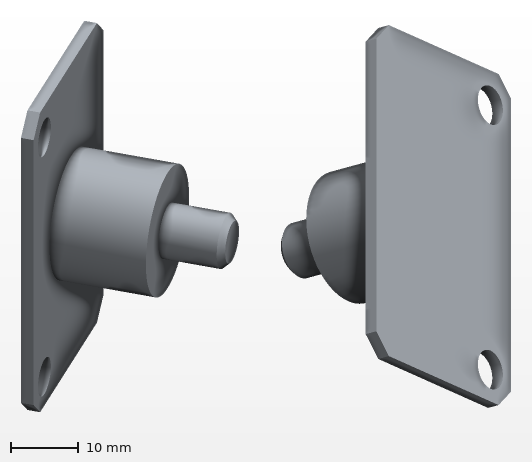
import cadquery as cq

total_length = 27.0
plate_width = 32.35
plate_height = 52.0
plate_thickness = 2.0
corner_chamfer = 3.0

hole_diameter = 6.0
hole_edge_margin = 5.0
upper_hole_margin = 5.45

stud_to_far_edge = 15.0
boss_diameter = 20.0
boss_length = 15.0
pin_diameter = 8.4
pin_chamfer = 1.0
pin_length = total_length - plate_thickness - boss_length

plate_center_y = stud_to_far_edge - plate_width / 2
hole_y = plate_center_y - plate_width / 2 + hole_edge_margin
upper_hole_z = plate_height / 2 - upper_hole_margin
lower_hole_z = -plate_height / 2 + hole_edge_margin


def make_plate():
    """Plate with four cut corners and two through holes."""
    plate = (
        cq.Workplane("YZ")
        .center(plate_center_y, 0)
        .rect(plate_width, plate_height)
        .extrude(plate_thickness)
        .edges("|X")
        .chamfer(corner_chamfer)
    )
    holes = (
        cq.Workplane("YZ")
        .pushPoints([(hole_y, upper_hole_z), (hole_y, lower_hole_z)])
        .circle(hole_diameter / 2)
        .extrude(plate_thickness)
    )
    return plate.cut(holes)


def make_stud():
    """Round boss carrying a thinner pin with a chamfered tip."""
    boss = cq.Workplane("YZ", origin=(plate_thickness, 0, 0)).circle(boss_diameter / 2).extrude(boss_length)
    pin = (
        cq.Workplane("YZ", origin=(plate_thickness + boss_length, 0, 0))
        .circle(pin_diameter / 2)
        .extrude(pin_length)
        .faces(">X")
        .chamfer(pin_chamfer)
    )
    return boss.union(pin)


result = make_plate().union(make_stud())